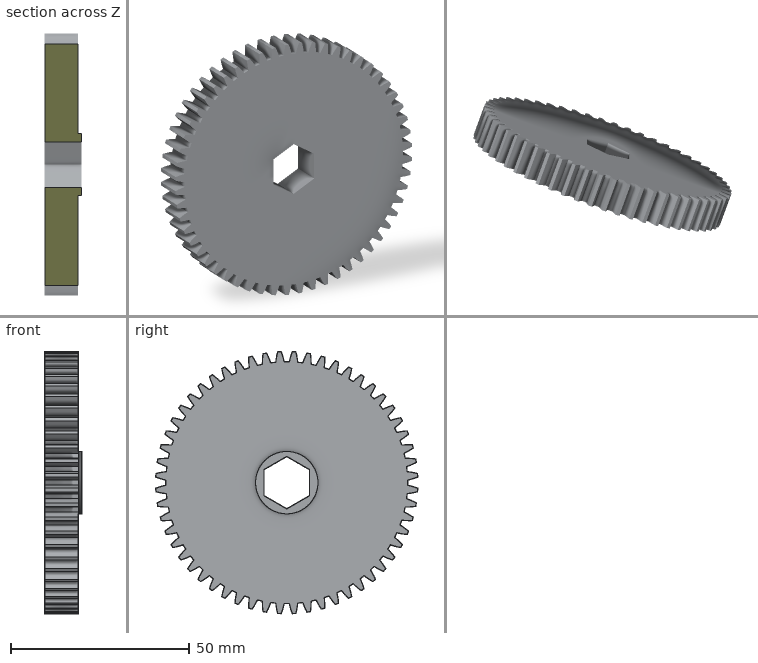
import cadquery as cq
import math


tooth_count = 56
overall_size = 73.6
overall_width = 10.45
face_width = 9.5
boss_diameter = 17.5
hex_across_flats = 12.65

tip_thickness = 1.0
pitch_thickness = 1.8
root_thickness = 2.4

addendum_factor = 1.0
dedendum_factor = 1.25

pitch_step = 2 * math.pi / tooth_count
tip_corner_angle = pitch_step / 2 - tip_thickness / overall_size
tip_radius = overall_size / 2 / math.cos(tip_corner_angle)

module = 2 * tip_radius / (tooth_count + 2 * addendum_factor)
pitch_radius = module * tooth_count / 2
root_radius = pitch_radius - dedendum_factor * module

boss_height = overall_width - face_width
hex_across_corners = hex_across_flats / math.cos(math.pi / 6)


def polar(radius, angle):
    return (radius * math.cos(angle), radius * math.sin(angle))


def flank_point(radius, thickness, centre_angle, side):
    """Point on a flank of the tooth at centre_angle; side is -1 or 1."""
    return polar(radius, centre_angle + side * thickness / 2 / radius)


def root_point(centre_angle, side):
    return flank_point(root_radius, root_thickness, centre_angle, side)


def pitch_point(centre_angle, side):
    return flank_point(pitch_radius, pitch_thickness, centre_angle, side)


def tip_point(centre_angle, side):
    return flank_point(tip_radius, tip_thickness, centre_angle, side)


def add_tooth(outline, centre_angle):
    """Draw one tooth and the root arc that follows it, starting at the root circle."""
    return (
        outline.threePointArc(pitch_point(centre_angle, -1), tip_point(centre_angle, -1))
        .threePointArc(polar(tip_radius, centre_angle), tip_point(centre_angle, 1))
        .threePointArc(pitch_point(centre_angle, 1), root_point(centre_angle, 1))
        .threePointArc(
            polar(root_radius, centre_angle + pitch_step / 2),
            root_point(centre_angle + pitch_step, -1),
        )
    )


def toothed_disc():
    first_centre = pitch_step / 2
    outline = cq.Workplane("YZ").moveTo(*root_point(first_centre, -1))
    for tooth in range(tooth_count):
        outline = add_tooth(outline, first_centre + tooth * pitch_step)
    return outline.close().extrude(face_width)


def hub_boss():
    face = cq.Workplane("YZ", origin=(face_width, 0, 0))
    return face.circle(boss_diameter / 2).extrude(boss_height)


def hex_bore():
    """Through bore with two flats facing Y and two corners on the Z axis."""
    outline = cq.Workplane("YZ").transformed(rotate=(0, 0, 90)).polygon(6, hex_across_corners)
    return outline.extrude(overall_width)


result = toothed_disc().union(hub_boss()).cut(hex_bore())